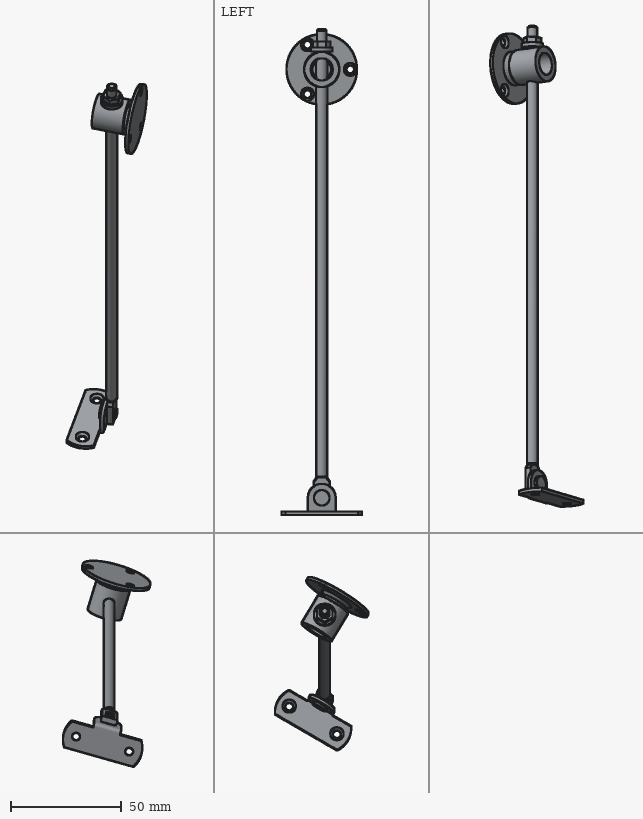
import cadquery as cq
import math

overall_height = 219.6

sheet_thickness = 1.7
foot_width = 12.7
foot_length = 36.5
foot_end_radius = 11.5
foot_hole_spacing = 25.0
foot_hole_diameter = 3.5
foot_countersink_diameter = 6.0
bend_radius = 1.5
tab_width = foot_width
tab_back_x = -2.0
tab_front_x = tab_back_x - sheet_thickness
foot_outer_x = -16.7
foot_inner_x = foot_outer_x + foot_width
foot_middle_x = (foot_outer_x + foot_inner_x) / 2

pivot_height = 7.8
rivet_diameter = 4.0
rivet_head_diameter = 7.0
rivet_head_thickness = 1.3
rivet_tail_length = 0.8

rod_diameter = 5.0
rod_bottom = 16.9
rod_chamfer = 0.5
stud_diameter = 4.5
stud_chamfer = 0.8

eye_diameter = 7.4
eye_thickness = 2.8
eye_bottom = 3.8
eye_shoulder_height = 15.1

barrel_diameter = 16.0
barrel_length = 14.5
barrel_height = 201.4
barrel_bore_diameter = 10.0
barrel_end_wall = 2.5
barrel_back_x = barrel_length / 2
barrel_top = barrel_height + barrel_diameter / 2
stud_bottom = barrel_height + barrel_bore_diameter / 2
bore_end_x = barrel_back_x - barrel_end_wall

washer_diameter = 9.8
washer_thickness = 2.0
nut_across_flats = 7.0
nut_thickness = 2.7
nut_bottom = barrel_top + washer_thickness

plate_diameter = 32.0
plate_thickness = 1.5
plate_back_x = 12.1
plate_front_x = plate_back_x - plate_thickness
neck_diameter = 11.6
neck_length = 1.7
cone_diameter = 15.4
spigot_diameter = 8.5
plate_hole_count = 3
plate_hole_circle_radius = 12.9
plate_hole_diameter = 3.5
plate_countersink_diameter = 5.8


def cylinder_x(diameter, start_x, end_x, height):
    return cq.Workplane("YZ", origin=(start_x, 0, height)).circle(diameter / 2).extrude(end_x - start_x)


def cylinder_z(diameter, bottom, top):
    return cq.Workplane("XY", origin=(0, 0, bottom)).circle(diameter / 2).extrude(top - bottom)


def make_bracket():
    half_length = foot_length / 2
    end_rise = foot_end_radius - math.sqrt(foot_end_radius**2 - (foot_width / 2) ** 2)
    corner_y = half_length - end_rise
    foot = (
        cq.Workplane("XY")
        .moveTo(foot_outer_x, -corner_y)
        .threePointArc((foot_middle_x, -half_length), (foot_inner_x, -corner_y))
        .lineTo(foot_inner_x, corner_y)
        .threePointArc((foot_middle_x, half_length), (foot_outer_x, corner_y))
        .close()
        .extrude(sheet_thickness)
    )
    bend = (
        cq.Workplane("XZ", origin=(0, tab_width / 2, 0))
        .moveTo(foot_middle_x, 0)
        .lineTo(tab_back_x - bend_radius, 0)
        .radiusArc((tab_back_x, bend_radius), -bend_radius)
        .lineTo(tab_back_x, pivot_height)
        .lineTo(tab_front_x, pivot_height)
        .lineTo(tab_front_x, sheet_thickness)
        .lineTo(foot_middle_x, sheet_thickness)
        .close()
        .extrude(tab_width)
    )
    tab_end = cylinder_x(tab_width, tab_front_x, tab_back_x, pivot_height)
    rivet_hole = cylinder_x(rivet_diameter, tab_front_x, tab_back_x, pivot_height)
    return foot.union(bend).union(tab_end).cut(rivet_hole).cut(foot_screw_holes())


def foot_screw_holes():
    cone_depth = (foot_countersink_diameter - foot_hole_diameter) / 2
    hole = (
        cq.Workplane("XZ")
        .lineTo(foot_hole_diameter / 2, 0)
        .lineTo(foot_hole_diameter / 2, sheet_thickness - cone_depth)
        .lineTo(foot_countersink_diameter / 2, sheet_thickness)
        .lineTo(0, sheet_thickness)
        .close()
        .revolve(360, (0, 0), (0, 1))
    )
    half_spacing = foot_hole_spacing / 2
    return hole.translate((foot_middle_x, -half_spacing, 0)).union(
        hole.translate((foot_middle_x, half_spacing, 0))
    )


def make_rivet():
    tail_x = eye_thickness / 2
    shank = cylinder_x(rivet_diameter, tab_front_x, tail_x + rivet_tail_length, pivot_height)
    head = cylinder_x(rivet_head_diameter, tab_front_x - rivet_head_thickness, tab_front_x, pivot_height)
    return shank.union(head)


def make_rod():
    shaft = cylinder_z(rod_diameter, rod_bottom, stud_bottom).faces("<Z").chamfer(rod_chamfer)
    stud = cylinder_z(stud_diameter, stud_bottom, overall_height).faces(">Z").chamfer(stud_chamfer)
    return shaft.union(stud)


def make_eye():
    pin = (
        cq.Workplane("XZ")
        .moveTo(0, eye_bottom)
        .lineTo(eye_diameter / 2, eye_bottom)
        .lineTo(eye_diameter / 2, eye_shoulder_height)
        .lineTo(rod_diameter / 2, rod_bottom)
        .lineTo(0, rod_bottom)
        .close()
        .revolve(360, (0, 0), (0, 1))
    )
    between_flats = cq.Workplane("XY").box(eye_thickness, eye_diameter, 2 * rod_bottom)
    rivet_hole = cylinder_x(rivet_diameter, -eye_thickness / 2, eye_thickness / 2, pivot_height)
    return pin.intersect(between_flats).cut(rivet_hole)


def make_barrel():
    body = cylinder_x(barrel_diameter, -barrel_length / 2, barrel_back_x, barrel_height)
    bore = cylinder_x(barrel_bore_diameter, -barrel_length / 2, bore_end_x, barrel_height)
    spigot_hole = cylinder_x(spigot_diameter, bore_end_x, barrel_back_x, barrel_height)
    rod_hole = cylinder_z(rod_diameter, barrel_height - barrel_diameter, stud_bottom)
    stud_hole = cylinder_z(stud_diameter, barrel_height, barrel_top)
    return body.cut(bore).cut(spigot_hole).cut(rod_hole).cut(stud_hole)


def make_washer():
    hole = cylinder_z(stud_diameter, barrel_top, nut_bottom)
    return cylinder_z(washer_diameter, barrel_top, nut_bottom).cut(hole)


def make_nut():
    across_corners = nut_across_flats / math.cos(math.pi / 6)
    hexagon = (
        cq.Workplane("XY", origin=(0, 0, nut_bottom))
        .transformed(rotate=(0, 0, 90))
        .polygon(6, across_corners)
        .extrude(nut_thickness)
    )
    return hexagon.cut(cylinder_z(stud_diameter, nut_bottom, nut_bottom + nut_thickness))


def make_plate():
    plate_body = (
        cq.Workplane("XY")
        .moveTo(bore_end_x, 0)
        .lineTo(bore_end_x, spigot_diameter / 2)
        .lineTo(barrel_back_x, spigot_diameter / 2)
        .lineTo(barrel_back_x, neck_diameter / 2)
        .lineTo(barrel_back_x + neck_length, neck_diameter / 2)
        .lineTo(plate_front_x, cone_diameter / 2)
        .lineTo(plate_front_x, plate_diameter / 2)
        .lineTo(plate_back_x, plate_diameter / 2)
        .lineTo(plate_back_x, 0)
        .close()
        .revolve(360, (0, 0), (1, 0))
    )
    for index in range(plate_hole_count):
        angle = index * 360 / plate_hole_count
        plate_body = plate_body.cut(plate_screw_hole().rotate((0, 0, 0), (1, 0, 0), angle))
    return plate_body.translate((0, 0, barrel_height))


def plate_screw_hole():
    cone_depth = (plate_countersink_diameter - plate_hole_diameter) / 2
    return (
        cq.Workplane("XY")
        .moveTo(plate_front_x, 0)
        .lineTo(plate_front_x, plate_countersink_diameter / 2)
        .lineTo(plate_front_x + cone_depth, plate_hole_diameter / 2)
        .lineTo(plate_back_x, plate_hole_diameter / 2)
        .lineTo(plate_back_x, 0)
        .close()
        .revolve(360, (0, 0), (1, 0))
        .translate((0, -plate_hole_circle_radius, 0))
    )


bracket = make_bracket()
rivet = make_rivet()
rod = make_rod()
eye = make_eye()
barrel = make_barrel()
washer = make_washer()
nut = make_nut()
plate = make_plate()
result = cq.Compound.makeCompound(
    [bracket.val(), rivet.val(), rod.val(), eye.val(), barrel.val(), washer.val(), nut.val(), plate.val()]
)